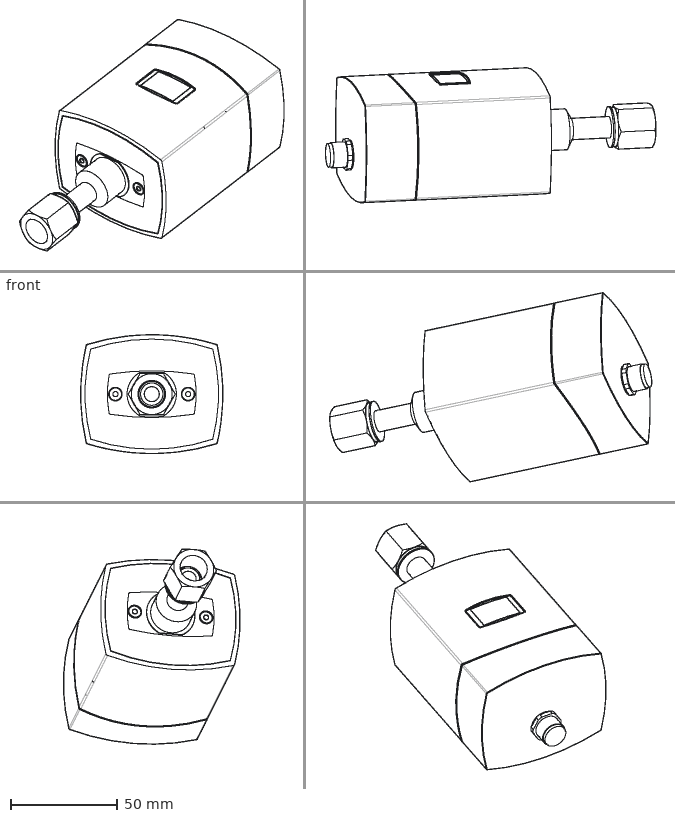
import cadquery as cq
import math


body_width = 67.0
body_height = 56.0
corner_x = 30.8
corner_z = 23.3
housing_corner_radius = 1.2
cover_corner_radius = 0.8
cover_back_chamfer = 0.3

face_step = 0.5
rim_width = 2.1
cover_back = 89.8
seam_middle = 68.6
seam_corner = 65.0
seam_width = 0.5
seam_depth = 0.3

window_y = 42.1
window_width = 24.8
window_length = 16.8
window_bow = 1.0
window_corner_setback = 0.5
pane_width = 19.4
pane_length = 13.6
window_gap = 0.4
window_depth = 0.25
pane_depth = 0.5
window_gap_depth = 0.5

plate_width = 41.8
plate_height = 22.0
plate_corner_x = 20.0
plate_corner_z = 9.4
plate_thickness = 3.0
plate_corner_radius = 0.8
screw_x = 17.1
screw_gap_outer = 6.4
screw_gap_inner = 5.8
screw_gap_depth = 0.5
socket_diameter = 2.4
socket_depth = 0.5

boss_diameter = 23.2
boss_flats = 20.4
boss_rise = 0.5
tube_diameter = 19.4
tube_end = 13.7
stem_diameter = 10.2
cone_end = 16.4
collar_start = 34.7
collar_diameter = 19.4
collar_length = 0.8
neck_diameter = 18.6
hex_start = 37.2
fitting_end = 55.2
hex_flats = 19.2
hex_chamfer_slope = math.tan(math.radians(30))
bore_diameter = 13.0
gland_diameter = 12.0
gland_rise = 1.0
bore_depth = 12.0
bead_mean_radius = 4.4
bead_radius = 0.85
stem_bore_diameter = 7.0
stem_bore_depth = 8.0

connector_z = -7.0
connector_neck_diameter = 13.6
nut_gap = 0.6
nut_length = 2.3
nut_diameter = 15.0
nut_flats = 14.0
thread_diameter = 12.0
tip_diameter = 11.2
tip_length = 1.6
connector_length = 11.0


def barrel_outline(width, height, end_x, end_z, y=0.0):
    """Four-arc outline in the XZ plane at the given Y."""
    return (
        cq.Workplane("XZ", origin=(0, y, 0))
        .moveTo(-end_x, end_z)
        .threePointArc((0, height / 2), (end_x, end_z))
        .threePointArc((width / 2, 0), (end_x, -end_z))
        .threePointArc((0, -height / 2), (-end_x, -end_z))
        .threePointArc((-width / 2, 0), (-end_x, end_z))
        .close()
    )


def barrel(front, back, corner_radius, inset=0.0):
    """Barrel-sided block between two Y positions, shrunk all round by the inset."""
    block = barrel_outline(
        body_width - 2 * inset, body_height - 2 * inset, corner_x - inset, corner_z - inset, back
    ).extrude(back - front)
    if corner_radius:
        block = block.edges("|Y").fillet(corner_radius)
    return block


def in_front_of_seam(shift=0.0):
    """Region on the front side of the bowed seam, moved back along Y by the shift."""
    bow_radius = (corner_x**2 + (seam_middle - seam_corner) ** 2) / (2 * (seam_middle - seam_corner))
    reach = body_width / 2 + 1
    side_y = seam_middle - bow_radius + math.sqrt(bow_radius**2 - reach**2) + shift
    return (
        cq.Workplane("XY", origin=(0, 0, -body_height))
        .moveTo(-reach, side_y)
        .threePointArc((0, seam_middle + shift), (reach, side_y))
        .lineTo(reach, -face_step)
        .lineTo(-reach, -face_step)
        .close()
        .extrude(2 * body_height)
    )


def window_frame(inset=0.0):
    """Upright prism with the window's bowed outline, shrunk all round by the inset."""
    half_width = window_width / 2 - inset
    half_length = window_length / 2 - inset
    end_length = half_length - window_bow
    end_x = half_width - window_corner_setback
    side_length = end_length - window_corner_setback
    return (
        cq.Workplane("XY", origin=(0, window_y, 0))
        .moveTo(-half_width, -side_length)
        .lineTo(-end_x, -end_length)
        .threePointArc((0, -half_length), (end_x, -end_length))
        .lineTo(half_width, -side_length)
        .lineTo(half_width, side_length)
        .lineTo(end_x, end_length)
        .threePointArc((0, half_length), (-end_x, end_length))
        .lineTo(-half_width, side_length)
        .close()
        .extrude(body_height)
    )


def window_cut():
    """Stepped recess with a groove round it; its floors follow the crown of the housing."""
    gap = window_frame().cut(window_frame(window_gap))
    pane = cq.Workplane("XY", origin=(0, window_y, 0)).rect(pane_width, pane_length).extrude(body_height)
    recess = window_frame().cut(barrel(0, cover_back, 0, window_depth))
    recess = recess.union(gap.cut(barrel(0, cover_back, 0, window_gap_depth)))
    return recess.union(pane.cut(barrel(0, cover_back, 0, pane_depth)))


def mounting_plate():
    outline = barrel_outline(plate_width, plate_height, plate_corner_x, plate_corner_z, plate_thickness)
    return outline.extrude(plate_thickness).edges("|Y").fillet(plate_corner_radius)


def revolved(points):
    """Solid of revolution about Y from (radius, y) points, closed along the axis."""
    return cq.Workplane("XY").polyline(points).close().revolve(360, (0, 0, 0), (0, 1, 0))


def make_housing():
    shell = barrel(face_step, cover_back, housing_corner_radius)
    face = barrel(0, face_step, 0, rim_width)
    housing = shell.union(face).intersect(in_front_of_seam())
    return housing.cut(window_cut()).cut(mounting_plate())


def make_connector():
    nut_start = cover_back + nut_gap
    nut_end = nut_start + nut_length
    tip = cover_back + connector_length
    neck = cq.Workplane("XZ", origin=(0, nut_start, 0)).circle(connector_neck_diameter / 2).extrude(nut_gap)
    nut_hex_diameter = nut_flats / math.cos(math.pi / 6)
    nut = cq.Workplane("XZ", origin=(0, nut_end, 0)).polygon(6, nut_hex_diameter).extrude(nut_length)
    nut_round = cq.Workplane("XZ", origin=(0, nut_end, 0)).circle(nut_diameter / 2).extrude(nut_length)
    thread = revolved(
        [
            (0, nut_end),
            (thread_diameter / 2, nut_end),
            (thread_diameter / 2, tip - tip_length),
            (tip_diameter / 2, tip - tip_length),
            (tip_diameter / 2, tip),
            (0, tip),
        ]
    )
    return neck.union(nut.intersect(nut_round)).union(thread)


def make_cover():
    block = barrel(face_step, cover_back, cover_corner_radius).faces(">Y").chamfer(cover_back_chamfer)
    block = block.cut(in_front_of_seam())
    seam_band = in_front_of_seam(seam_width).cut(barrel(face_step, cover_back, 0, seam_depth))
    return block.cut(seam_band).union(make_connector().translate((0, 0, connector_z)))


def screw_cut(x):
    """Ring gap round a screw head and the socket in its middle."""
    face = cq.Workplane("XZ", origin=(x, 0, 0))
    ring = face.circle(screw_gap_outer / 2).circle(screw_gap_inner / 2).extrude(-screw_gap_depth)
    socket = face.circle(socket_diameter / 2).extrude(-socket_depth)
    return ring.union(socket)


def make_hex_nut():
    """Hexagon with its corners turned off conically at both ends."""
    hex_radius = hex_flats / math.sqrt(3)
    flat_radius = hex_flats / 2
    chamfer = (hex_radius - flat_radius) * hex_chamfer_slope
    hexagon = (
        cq.Workplane("XZ", origin=(0, -hex_start, 0))
        .polygon(6, 2 * hex_radius)
        .extrude(fitting_end - hex_start)
    )
    turned = revolved(
        [
            (0, -hex_start),
            (flat_radius, -hex_start),
            (hex_radius, -hex_start - chamfer),
            (hex_radius, -fitting_end + chamfer),
            (flat_radius, -fitting_end),
            (0, -fitting_end),
        ]
    )
    return hexagon.intersect(turned)


def nut_bore():
    """Bore of the nut down past the gland face, and the narrower bore of the stem."""
    gland_face = -fitting_end + bore_depth
    stem_bore_end = gland_face + stem_bore_depth
    return revolved(
        [
            (0, -fitting_end),
            (bore_diameter / 2, -fitting_end),
            (bore_diameter / 2, gland_face + gland_rise),
            (gland_diameter / 2, gland_face + gland_rise),
            (gland_diameter / 2, gland_face),
            (stem_bore_diameter / 2, gland_face),
            (stem_bore_diameter / 2, stem_bore_end),
            (0, stem_bore_end),
        ]
    )


def sealing_bead():
    """Rounded sealing ring on the face of the gland."""
    return (
        cq.Workplane("XY")
        .center(bead_mean_radius, -fitting_end + bore_depth)
        .circle(bead_radius)
        .revolve(360, (-bead_mean_radius, 0, 0), (-bead_mean_radius, 1, 0))
    )


def make_fitting():
    boss = cq.Workplane("XZ").circle(boss_diameter / 2).extrude(boss_rise)
    boss = boss.intersect(cq.Workplane("XZ").rect(boss_diameter, boss_flats).extrude(boss_rise))
    tube = revolved(
        [
            (0, 0),
            (tube_diameter / 2, 0),
            (tube_diameter / 2, -tube_end),
            (stem_diameter / 2, -cone_end),
            (stem_diameter / 2, -collar_start),
            (collar_diameter / 2, -collar_start),
            (collar_diameter / 2, -collar_start - collar_length),
            (neck_diameter / 2, -collar_start - collar_length),
            (neck_diameter / 2, -hex_start),
            (0, -hex_start),
        ]
    )
    fitting = mounting_plate().union(boss).union(tube).union(make_hex_nut())
    for x in (-screw_x, screw_x):
        fitting = fitting.cut(screw_cut(x))
    return fitting.cut(nut_bore()).union(sealing_bead())


housing = make_housing()
cover = make_cover()
fitting = make_fitting()
result = cq.Compound.makeCompound([housing.val(), cover.val(), fitting.val()])